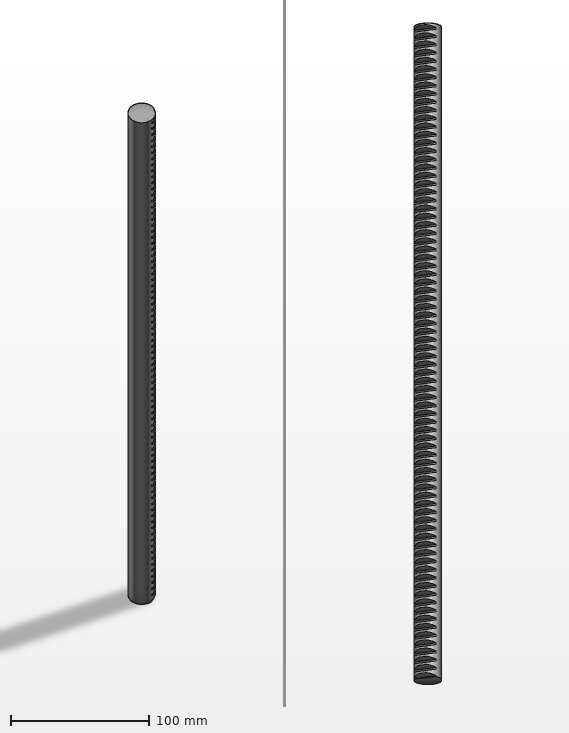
import math

import cadquery as cq

diameter = 20.0
length = 500.0
tip_height = 9.75

module = 2.0
pressure_angle = 20.0
pitch = math.pi * module
addendum = module
dedendum = 1.25 * module

root_height = tip_height - addendum - dedendum
flank_slope = math.tan(math.radians(pressure_angle))
gap_half_width = pitch / 4
gap_half_width_at_root = gap_half_width - dedendum * flank_slope
gap_half_width_at_tip = gap_half_width + addendum * flank_slope

gap_count = math.floor((length + gap_half_width_at_tip) / pitch) + 1


def make_bar():
    """Round bar with a narrow flat along +Y at the height of the tooth tips."""
    radius = diameter / 2
    bar = cq.Workplane("XY").circle(radius).extrude(length)
    flat_cutter = (
        cq.Workplane("XY")
        .box(diameter, radius, length, centered=(True, False, False))
        .translate((0, tip_height, 0))
    )
    return bar.cut(flat_cutter)


def make_gap_cutter(gap_center):
    """Trapezoidal prism along X that removes one tooth gap."""
    return (
        cq.Workplane("YZ")
        .moveTo(root_height, gap_center - gap_half_width_at_root)
        .lineTo(tip_height, gap_center - gap_half_width_at_tip)
        .lineTo(tip_height, gap_center + gap_half_width_at_tip)
        .lineTo(root_height, gap_center + gap_half_width_at_root)
        .close()
        .extrude(diameter / 2, both=True)
    )


def make_rack():
    """Bar with all its tooth gaps cut away."""
    gap_cutters = [make_gap_cutter(index * pitch).val() for index in range(gap_count)]
    all_gaps = cq.Workplane(cq.Compound.makeCompound(gap_cutters))
    return make_bar().cut(all_gaps).solids()


result = make_rack()